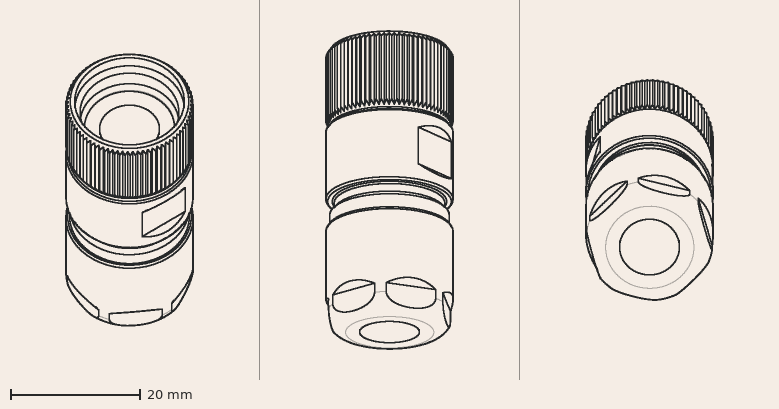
import cadquery as cq
import math

total_length = 46.35
outer_diameter = 19.7
outer_radius = outer_diameter / 2
cable_bore_radius = 4.65

ring_bottom = 33.8
ring_top_radius = 9.2
ring_top_bevel = 0.97
ring_bottom_radius = 9.3
ring_bottom_bevel = 1.15
tooth_count = 76
tooth_depth = 0.35

mouth_radius = 8.5
mouth_depth = 2.05
socket_radius = 7.65
socket_top_depth = 2.85
socket_depth = 5.5
lip_radius = 6.95
lip_depth = 6.55
undercut_radius = 7.9
floor_depth = 7.05

body_top = 33.35
body_bottom = 21.6
body_bevel_width = 0.3
body_top_bevel = 0.3
body_bottom_bevel = 0.35
upper_neck_radius = 7.95
neck_bevel = 0.3
flat_distance = 8.95
body_flat_top = 30.6
body_flat_bottom = 24.5

lower_neck_radius = 8.57
shoulder_radius = 9.25
shoulder_bevel_top = 20.05

nut_top = 17.1
nut_bevel_width = 0.3
nut_bevel_height = 0.4
nut_round = 3.0
nut_flat_top = 4.45
nut_flat_runout = 1.05
nut_flat_count = 6


def make_coupling_ring():
    """Ring with sharp V-shaped teeth and a groove on each axis, bevelled at both ends."""
    height = total_length - ring_bottom
    outline = []
    for i in range(2 * tooth_count):
        is_root = i % 2 == 0
        radius = outer_radius - tooth_depth if is_root else outer_radius
        angle = math.pi * i / tooth_count
        outline.append((radius * math.cos(angle), radius * math.sin(angle)))
    toothed = (
        cq.Workplane("XY")
        .workplane(offset=ring_bottom)
        .polyline(outline)
        .close()
        .extrude(height)
    )

    envelope = (
        cq.Workplane("XZ")
        .moveTo(0, ring_bottom)
        .lineTo(ring_bottom_radius, ring_bottom)
        .lineTo(outer_radius, ring_bottom + ring_bottom_bevel)
        .lineTo(outer_radius, total_length - ring_top_bevel)
        .lineTo(ring_top_radius, total_length)
        .lineTo(0, total_length)
        .close()
        .revolve(360, (0, 0, 0), (0, 1, 0))
    )
    return toothed.intersect(envelope)


def make_turned_core():
    """Nut, shoulder, necks and main body turned as one piece below the ring."""
    shoulder_bevel = shoulder_radius - lower_neck_radius
    round_middle = nut_round * (1 - math.sqrt(0.5))
    return (
        cq.Workplane("XZ")
        .moveTo(0, 0)
        .lineTo(outer_radius - nut_round, 0)
        .threePointArc((outer_radius - round_middle, round_middle), (outer_radius, nut_round))
        .lineTo(outer_radius, nut_top - nut_bevel_height)
        .lineTo(outer_radius - nut_bevel_width, nut_top)
        .lineTo(shoulder_radius, nut_top)
        .lineTo(shoulder_radius, shoulder_bevel_top - shoulder_bevel)
        .lineTo(lower_neck_radius, shoulder_bevel_top)
        .lineTo(lower_neck_radius, body_bottom - neck_bevel)
        .lineTo(lower_neck_radius + neck_bevel, body_bottom)
        .lineTo(outer_radius - body_bevel_width, body_bottom)
        .lineTo(outer_radius, body_bottom + body_bottom_bevel)
        .lineTo(outer_radius, body_top - body_top_bevel)
        .lineTo(outer_radius - body_bevel_width, body_top)
        .lineTo(upper_neck_radius + neck_bevel, body_top)
        .lineTo(upper_neck_radius, body_top + neck_bevel)
        .lineTo(upper_neck_radius, ring_bottom)
        .lineTo(0, ring_bottom)
        .close()
        .revolve(360, (0, 0, 0), (0, 1, 0))
    )


def make_socket():
    """Stepped hole: conical shoulder, rounded lip, undercut, flat floor and through bore."""
    cone_top = total_length - mouth_depth
    cone_bottom = total_length - socket_top_depth
    lip_top = total_length - socket_depth
    lip_round = socket_radius - lip_radius
    arc_offset = lip_round * math.sqrt(0.5)
    lip_bottom = total_length - lip_depth
    floor = total_length - floor_depth
    return (
        cq.Workplane("XZ")
        .moveTo(0, 0)
        .lineTo(cable_bore_radius, 0)
        .lineTo(cable_bore_radius, floor)
        .lineTo(undercut_radius, floor)
        .lineTo(undercut_radius, lip_bottom)
        .lineTo(lip_radius, lip_bottom)
        .lineTo(lip_radius, lip_top - lip_round)
        .threePointArc(
            (socket_radius - arc_offset, lip_top - lip_round + arc_offset),
            (socket_radius, lip_top),
        )
        .lineTo(socket_radius, cone_bottom)
        .lineTo(mouth_radius, cone_top)
        .lineTo(mouth_radius, total_length)
        .lineTo(0, total_length)
        .close()
        .revolve(360, (0, 0, 0), (0, 1, 0))
    )


def make_flat_cutter(bottom, top, bottom_runout, top_runout, angle):
    """Cutter for one wrench flat whose ends slope out to the surface over the given heights."""
    return (
        cq.Workplane("XZ")
        .moveTo(flat_distance, bottom)
        .lineTo(flat_distance, top)
        .lineTo(outer_radius, top + top_runout)
        .lineTo(outer_radius, bottom - bottom_runout)
        .close()
        .extrude(outer_radius, both=True)
        .rotate((0, 0, 0), (0, 0, 1), angle)
    )


result = make_turned_core().union(make_coupling_ring()).cut(make_socket())

body_flat_runout = outer_radius - flat_distance
for body_angle in (0, 180):
    result = result.cut(
        make_flat_cutter(body_flat_bottom, body_flat_top, body_flat_runout, body_flat_runout, body_angle)
    )

for i in range(nut_flat_count):
    nut_angle = 360 / nut_flat_count * i - 90
    result = result.cut(make_flat_cutter(0, nut_flat_top, 0, nut_flat_runout, nut_angle))